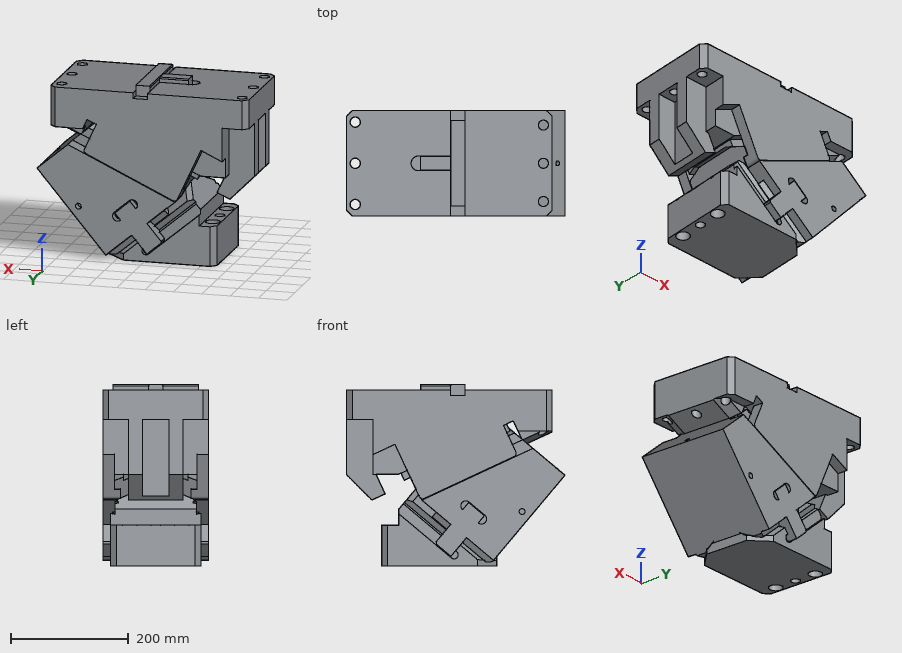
import cadquery as cq
import math


TRAVEL_ANGLE = 40.0
SLIDE_ANGLE = 25.0
SLOPE_30 = math.tan(math.radians(30))
FAR = 500.0

DRIVER_LEFT = 60.0
DRIVER_RIGHT = 256.0
DRIVER_HALF_WIDTH = 77.0
SHELF_HEIGHT = 70.0
FOOT_HEIGHT = 10.0
SHELF_CORNER = 10.0
FOOT_CORNER = 33.0
RIDGE_X, RIDGE_Z = 89.0, 97.0
RAIL_HALF_WIDTH = 69.0
RAIL_EDGE = 25.0
GROOVE_BOTTOM = 12.0
GROOVE_APEX_HEIGHT = 15.0
GROOVE_APEX_HALF_WIDTH = RAIL_HALF_WIDTH - (RAIL_EDGE - GROOVE_APEX_HEIGHT) * SLOPE_30
POCKET_FLOOR = -6.0
POCKET_RADIUS = 7.0
POCKET_END = 129.0
LEAD_IN_LENGTH = 10.0
LEAD_IN_DEPTH = 5.0
SHELF_HOLE_X = 74.0
SHELF_BOLT_DIAMETER = 25.0
SHELF_BOLT_Y = 44.0
DOWEL_DIAMETER = 17.0

HALF_WIDTH = 90.0
SLIDER_START = 20.4
SLIDER_END = 179.62
SLIDER_BOTTOM = 37.0
SLIDER_BACK = 226.0
INSERT_START = 52.0
INSERT_BOTTOM = 26.2
INSERT_BOTTOM_HALF_WIDTH = 67.0
INSERT_CORNER = 8.0
TAB_START, TAB_END = 84.4, 119.5
TAB_BOTTOM = -4.5
TAB_CORNER = 3.0
TAB_INNER_HALF_WIDTH = 63.0
NECK_HALF_WIDTH = 60.0
HEAD_HALF_WIDTH = 70.0
HOOK_TOP = 20.7
HEAD_SHOULDER = 37.0
HEAD_TOP = 49.4
HEAD_TOP_HALF_WIDTH = 40.0
SLOT_X, SLOT_Z = 203.0, 102.6
SLOT_LENGTH = 35.0
SLOT_RADIUS = 8.5
SLOT_PAD_GAP = 1.0
SIDE_POCKET_DEPTH = 15.0
SIDE_HOLE_X, SIDE_HOLE_Z = 298.8, 92.9
SIDE_HOLE_DIAMETER = 10.0
BACK_HOLE_OFFSET = 16.3
BACK_HOLE_DIAMETER = 8.0
BACK_HOLE_DEPTH = 20.0

PLATE_LENGTH = 350.0
PLATE_TOP = 300.0
PLATE_BOTTOM = 249.0
PLATE_TAIL_BOTTOM = 230.0
PLATE_CORNER = 10.0
CORE_LEFT = 45.0
CORE_BOTTOM = 156.0
LEG_HALF_WIDTH = 46.6
LEG_TIP_X = 43.4
LEG_RECESS_DEPTH = 36.0
LEG_RECESS_WIDTH = 45.0
LEG_RIGHT = -52.0
LEG_TIP_RISE = 36.0
CHEEK_LEFT, CHEEK_RIGHT = -1.5, 179.5
CHEEK_GAP = 1.0
CHEEK_SHOULDER = 105.5
CHEEK_FILLET = 6.0
NOTCH_RIGHT = 197.6
CAVITY_TOP = 56.5
GUIDE_LEFT, GUIDE_RIGHT = -13.0, 185.5
GUIDE_HALF_WIDTH = 55.0
STOP_SIDE, STOP_BOTTOM = 20.5, 11.5
STOP_BEVEL_WIDTH = 20.0

BOLT_DIAMETER = 17.0
FRONT_BOLT_X, FRONT_BOLT_Y = 15.0, 70.0
REAR_BOLT_X, REAR_BOLT_Y = 335.0, 65.0

KEY_TOP = 309.0
KEY_SEAT = 290.0
KEY_BEVEL_WIDTH, KEY_BEVEL_HEIGHT = 1.0, 2.5
CROSS_KEY_LEFT, CROSS_KEY_RIGHT = 177.0, 202.0
CROSS_KEY_HALF_LENGTH = 73.0
LONG_KEY_LEFT = 126.0
LONG_KEY_HALF_WIDTH = 12.5
LONG_SEAT_LEFT = 110.0

travel = math.radians(TRAVEL_ANGLE)
slide = math.radians(SLIDE_ANGLE)
travel_dir = cq.Vector(math.cos(travel), 0, -math.sin(travel))
travel_normal = cq.Vector(math.sin(travel), 0, math.cos(travel))
slide_dir = cq.Vector(math.cos(slide), 0, math.sin(slide))
ridge_origin = cq.Vector(RIDGE_X, 0, RIDGE_Z)
slide_origin = ridge_origin + travel_dir * SLIDER_START + travel_normal * SLIDER_BOTTOM

ACROSS = (0, 1, 0)
TOWARD_FRONT = (0, -1, 0)
ridge_side = cq.Plane(ridge_origin, travel_dir, TOWARD_FRONT)
slide_side = cq.Plane(slide_origin, slide_dir, TOWARD_FRONT)


def block(x0, x1, y0, y1, z0, z1):
    return cq.Workplane("XY").box(x1 - x0, y1 - y0, z1 - z0, centered=False).translate((x0, y0, z0))


def profile(plane, points, half_width):
    """Side profile extruded to both sides of the mid plane."""
    return cq.Workplane(plane).polyline(points).close().extrude(half_width, both=True)


def mirrored_section(half_points):
    return half_points + [(-y, height) for y, height in reversed(half_points)]


def along_travel(points, start, end):
    """Cross section (y, height) extruded along the travel direction."""
    plane = cq.Plane(ridge_origin + travel_dir * start, ACROSS, travel_dir)
    return cq.Workplane(plane).polyline(points).close().extrude(end - start)


def along_slide(points, start, end):
    """Cross section (y, height) extruded along the slide direction."""
    plane = cq.Plane(slide_origin + slide_dir * start, ACROSS, slide_dir)
    return cq.Workplane(plane).polyline(points).close().extrude(end - start)


def slide_point(along, above):
    """World (x, z) of a point given along and above the slide plane."""
    point = slide_side.toWorldCoords((along, above))
    return (point.x, point.z)


def slide_point_at_height(along, z):
    """World (x, z) where the line square to the slide plane at `along` crosses height z."""
    above = (z - slide_point(along, 0)[1]) / math.cos(slide)
    return slide_point(along, above)


def slide_point_at_x(x, above):
    """World (x, z) where the line parallel to the slide plane at `above` crosses x."""
    along = (x - slide_point(0, above)[0]) / math.cos(slide)
    return slide_point(along, above)


def bevelled_bar(half_width, base, top):
    """Key section with both upper edges bevelled."""
    shoulder = top - KEY_BEVEL_HEIGHT
    crown = half_width - KEY_BEVEL_WIDTH
    return mirrored_section([(half_width, base), (half_width, shoulder), (crown, top)])


def roof_height(y):
    return RAIL_EDGE + (RAIL_HALF_WIDTH - y) * SLOPE_30


def driver_envelope():
    """Plan outline of the driver as a tall block with its four bevelled corners."""
    blank = block(DRIVER_LEFT, DRIVER_RIGHT, -DRIVER_HALF_WIDTH, DRIVER_HALF_WIDTH, 0, PLATE_TOP)
    blank = blank.edges("|Z and <X").chamfer(SHELF_CORNER)
    return blank.edges("|Z and >X").chamfer(FOOT_CORNER)


def driver_ridge():
    """Roofed ridge, reaching down to the foot and back to the shelf wall."""
    section = [
        (-DRIVER_HALF_WIDTH, -FAR),
        (DRIVER_HALF_WIDTH, -FAR),
        (DRIVER_HALF_WIDTH, roof_height(DRIVER_HALF_WIDTH)),
        (0, roof_height(0)),
        (-DRIVER_HALF_WIDTH, roof_height(DRIVER_HALF_WIDTH)),
    ]
    ridge = along_travel(section, 0, FAR)
    return ridge.intersect(block(RIDGE_X, DRIVER_RIGHT, -FAR, FAR, FOOT_HEIGHT, FAR))


def rail_cutters():
    """On each side: the undercut groove and the rounded pocket that the slider's tabs run in."""
    middle = POCKET_FLOOR + POCKET_RADIUS
    centre_u = POCKET_END - POCKET_RADIUS
    pocket = (
        cq.Workplane(ridge_side)
        .workplane(offset=RAIL_HALF_WIDTH)
        .moveTo(-FAR, POCKET_FLOOR)
        .lineTo(centre_u, POCKET_FLOOR)
        .threePointArc((POCKET_END, middle), (centre_u, middle + POCKET_RADIUS))
        .lineTo(-FAR, middle + POCKET_RADIUS)
        .close()
        .extrude(FAR)
    )
    groove = along_travel(
        [
            (-RAIL_HALF_WIDTH, middle),
            (-RAIL_HALF_WIDTH, GROOVE_BOTTOM),
            (-GROOVE_APEX_HALF_WIDTH, GROOVE_APEX_HEIGHT),
            (-RAIL_HALF_WIDTH, RAIL_EDGE),
            (-HALF_WIDTH, RAIL_EDGE),
            (-HALF_WIDTH, middle),
        ],
        -FAR,
        TAB_END,
    )
    front = pocket.union(groove)
    return [front, front.mirror("XZ")]


def lead_in_cutters():
    """Wedges that slope the upper end of both roof faces."""
    eave = ridge_origin + travel_normal * roof_height(DRIVER_HALF_WIDTH) - cq.Vector(0, DRIVER_HALF_WIDTH, 0)
    up_the_roof = cq.Vector(0, 1, 0) + travel_normal * SLOPE_30
    plane = cq.Plane(eave, travel_dir, up_the_roof)
    wedge = [(0, 0), (0, -LEAD_IN_DEPTH), (LEAD_IN_LENGTH, 0)]
    if plane.yDir.dot(travel_normal) < 0:
        wedge = [(u, -depth) for u, depth in wedge]
    front = cq.Workplane(plane).polyline(wedge).close().extrude(FAR, both=True)
    return [front, front.mirror("XZ")]


def make_driver():
    shelf = block(DRIVER_LEFT, RIDGE_X, -FAR, FAR, 0, SHELF_HEIGHT)
    foot = block(DRIVER_LEFT, DRIVER_RIGHT, -FAR, FAR, 0, FOOT_HEIGHT)
    body = driver_ridge()
    for cutter in rail_cutters() + lead_in_cutters():
        body = body.cut(cutter)
    body = body.union(shelf).union(foot).intersect(driver_envelope())
    holes = cq.Workplane("XY").pushPoints([(SHELF_HOLE_X, y) for y in (-SHELF_BOLT_Y, SHELF_BOLT_Y)])
    body = body.cut(holes.circle(SHELF_BOLT_DIAMETER / 2).extrude(SHELF_HEIGHT))
    dowel = cq.Workplane("XY").center(SHELF_HOLE_X, 0).circle(DOWEL_DIAMETER / 2)
    return body.cut(dowel.extrude(SHELF_HEIGHT))


def head_roof(y):
    """Height of the slider head above the slide plane at half width y."""
    fall = (HEAD_TOP - HEAD_SHOULDER) / (HEAD_HALF_WIDTH - HEAD_TOP_HALF_WIDTH)
    return HEAD_TOP - (y - HEAD_TOP_HALF_WIDTH) * fall


def slider_body():
    """Full-width wedge between the travel direction and the slide plane."""
    rise = SLIDER_BACK - SLIDER_BOTTOM
    top_u = SLIDER_START + rise / math.tan(travel + slide)
    outline = [
        (SLIDER_START, SLIDER_BOTTOM),
        (SLIDER_END, SLIDER_BOTTOM),
        (SLIDER_END, SLIDER_BACK),
        (top_u, SLIDER_BACK),
    ]
    return profile(ridge_side, outline, HALF_WIDTH)


def slider_head():
    """Necked head that hangs in the holder, ending flush with the slider's back face."""
    half = [
        (NECK_HALF_WIDTH, 0),
        (NECK_HALF_WIDTH, HOOK_TOP),
        (HEAD_HALF_WIDTH, HOOK_TOP),
        (HEAD_HALF_WIDTH, HEAD_SHOULDER),
        (HEAD_TOP_HALF_WIDTH, HEAD_TOP),
    ]
    head = along_slide(mirrored_section(half), 0, FAR)
    limit = profile(
        ridge_side, [(-FAR, -FAR), (FAR, -FAR), (FAR, SLIDER_BACK), (-FAR, SLIDER_BACK)], HALF_WIDTH
    )
    return head.intersect(limit)


def slider_insert():
    """Dovetail-sided runner under the slider that carries the groove for the driver roof."""
    flare = (SLIDER_BOTTOM - INSERT_BOTTOM) * SLOPE_30
    half = [
        (INSERT_BOTTOM_HALF_WIDTH, INSERT_BOTTOM),
        (INSERT_BOTTOM_HALF_WIDTH + flare, SLIDER_BOTTOM),
    ]
    runner = along_travel(mirrored_section(half), INSERT_START, SLIDER_END)
    corner = [
        (SLIDER_END - INSERT_CORNER, INSERT_BOTTOM),
        (SLIDER_END, INSERT_BOTTOM),
        (SLIDER_END, INSERT_BOTTOM + INSERT_CORNER),
    ]
    return runner.cut(profile(ridge_side, corner, HALF_WIDTH))


def slider_tabs():
    """Side tabs that reach down over the rail into its groove."""
    outline = [
        (TAB_START, SLIDER_BOTTOM),
        (TAB_START, TAB_BOTTOM + TAB_CORNER),
        (TAB_START + TAB_CORNER, TAB_BOTTOM),
        (TAB_END, TAB_BOTTOM),
        (TAB_END, SLIDER_BOTTOM),
    ]
    both = profile(ridge_side, outline, HALF_WIDTH)
    return both.cut(profile(ridge_side, outline, TAB_INNER_HALF_WIDTH))


def side_pockets():
    """Front-side pockets: the two half-round ends of a slot, and a small hole."""
    front_face = cq.Vector(SLOT_X, -HALF_WIDTH, SLOT_Z)
    face = cq.Workplane(cq.Plane(front_face, travel_dir, TOWARD_FRONT))
    slot = face.center(SLOT_LENGTH / 2, 0).slot2D(SLOT_LENGTH + 2 * SLOT_RADIUS, 2 * SLOT_RADIUS)
    slot = slot.extrude(-SIDE_POCKET_DEPTH)
    pad = face.center(SLOT_LENGTH / 2, -SLOT_PAD_GAP / 2)
    pad = pad.rect(SLOT_LENGTH, 2 * SLOT_RADIUS - SLOT_PAD_GAP).extrude(-SIDE_POCKET_DEPTH)
    hole = cq.Workplane("XZ", origin=(SIDE_HOLE_X, -HALF_WIDTH, SIDE_HOLE_Z))
    hole = hole.circle(SIDE_HOLE_DIAMETER / 2).extrude(-SIDE_POCKET_DEPTH)
    return slot.cut(pad).union(hole)


def back_hole():
    centre = ridge_origin + travel_dir * (SLIDER_END - BACK_HOLE_OFFSET) + travel_normal * SLIDER_BACK
    plane = cq.Plane(centre, ACROSS, travel_normal)
    return cq.Workplane(plane).circle(BACK_HOLE_DIAMETER / 2).extrude(-BACK_HOLE_DEPTH)


def make_slider(driver):
    body = slider_body().union(slider_head()).union(slider_insert()).union(slider_tabs())
    pockets = side_pockets()
    body = body.cut(pockets).cut(pockets.mirror("XZ")).cut(back_hole())
    return body.cut(driver)


def holder_plate():
    outline = [
        (0, PLATE_BOTTOM),
        (0, PLATE_TOP),
        (PLATE_LENGTH, PLATE_TOP),
        (PLATE_LENGTH, PLATE_TAIL_BOTTOM),
        slide_point_at_height(NOTCH_RIGHT, PLATE_TAIL_BOTTOM),
        slide_point_at_height(NOTCH_RIGHT, PLATE_BOTTOM),
    ]
    plate = profile("XZ", outline, HALF_WIDTH)
    return plate.edges("|Z and (<X or >X)").chamfer(PLATE_CORNER)


def holder_cheeks():
    """Side cheeks with hooks that grip the slider's head, over the hollow that houses it."""
    outline = [
        (CORE_LEFT, PLATE_BOTTOM),
        slide_point_at_x(CORE_LEFT, CHEEK_SHOULDER),
        slide_point(CHEEK_LEFT, CHEEK_SHOULDER),
        slide_point(CHEEK_LEFT, CHEEK_GAP),
        slide_point(CHEEK_RIGHT, CHEEK_GAP),
        slide_point(CHEEK_RIGHT, CAVITY_TOP),
        slide_point(NOTCH_RIGHT, CAVITY_TOP),
        slide_point_at_height(NOTCH_RIGHT, PLATE_BOTTOM),
    ]
    cheeks = profile("XZ", outline, HALF_WIDTH)
    for along in (CHEEK_LEFT, CHEEK_RIGHT):
        x, z = slide_point(along, CHEEK_GAP)
        cheeks = cheeks.edges(cq.NearestToPointSelector((x, 0, z))).fillet(CHEEK_FILLET)
    half = [
        (NECK_HALF_WIDTH, 0),
        (NECK_HALF_WIDTH, HOOK_TOP),
        (HEAD_HALF_WIDTH, HOOK_TOP),
        (HEAD_HALF_WIDTH, CAVITY_TOP),
    ]
    return cheeks.cut(along_slide(mirrored_section(half), -FAR, FAR))


def holder_core():
    """Inner block in front of the cheeks and above the slider's head."""
    cavity_x = slide_point(0, CAVITY_TOP)[0]
    along_floor = (CORE_BOTTOM - slide_point(0, CAVITY_TOP)[1]) / math.sin(slide)
    outline = [
        (CORE_LEFT, PLATE_BOTTOM),
        (CORE_LEFT, CORE_BOTTOM),
        slide_point(along_floor, CAVITY_TOP),
        slide_point(0, CAVITY_TOP),
        (cavity_x, PLATE_BOTTOM),
    ]
    return profile("XZ", outline, HEAD_HALF_WIDTH)


def holder_legs():
    """Pair of hooked legs at the front, parted by a central recess."""
    tip = slide_point_at_x(LEG_TIP_X, LEG_TIP_RISE)
    outline = [
        (0, PLATE_BOTTOM),
        (0, tip[1] + LEG_TIP_X),
        tip,
        slide_point(LEG_RIGHT, LEG_TIP_RISE),
        slide_point_at_height(LEG_RIGHT, CORE_BOTTOM),
        (CORE_LEFT, CORE_BOTTOM),
        (CORE_LEFT, PLATE_BOTTOM),
    ]
    legs = profile("XZ", outline, LEG_HALF_WIDTH)
    half_recess = LEG_RECESS_WIDTH / 2
    return legs.cut(block(0, LEG_RECESS_DEPTH, -half_recess, half_recess, 0, PLATE_BOTTOM))


def holder_guide():
    """Central guide block resting on the roof of the slider's head."""
    half = [
        (HEAD_TOP_HALF_WIDTH, HEAD_TOP),
        (GUIDE_HALF_WIDTH, head_roof(GUIDE_HALF_WIDTH)),
        (GUIDE_HALF_WIDTH, CAVITY_TOP),
    ]
    return along_slide(mirrored_section(half), GUIDE_LEFT, GUIDE_RIGHT)


def holder_stop():
    """Bevelled block under the tail of the plate, behind the slider's back face."""
    half = [
        (HEAD_HALF_WIDTH - STOP_BEVEL_WIDTH, STOP_BOTTOM),
        (HEAD_HALF_WIDTH, STOP_SIDE),
        (HEAD_HALF_WIDTH, CAVITY_TOP),
    ]
    stop = along_slide(mirrored_section(half), NOTCH_RIGHT, FAR)
    behind_slider = profile(
        ridge_side, [(-FAR, SLIDER_BACK), (FAR, SLIDER_BACK), (FAR, FAR), (-FAR, FAR)], HALF_WIDTH
    )
    return stop.intersect(behind_slider).intersect(block(0, PLATE_LENGTH, -FAR, FAR, 0, PLATE_BOTTOM))


def holder_bolt_holes():
    points = [(FRONT_BOLT_X, y) for y in (-FRONT_BOLT_Y, 0, FRONT_BOLT_Y)]
    points += [(REAR_BOLT_X, y) for y in (-REAR_BOLT_Y, 0, REAR_BOLT_Y)]
    return cq.Workplane("XY").pushPoints(points).circle(BOLT_DIAMETER / 2).extrude(PLATE_TOP)


def add_keys(body):
    """Cross key and lengthwise key seated in the top of the plate."""
    body = body.cut(block(CROSS_KEY_LEFT, CROSS_KEY_RIGHT, -FAR, FAR, KEY_SEAT, PLATE_TOP))
    seat_centre = LONG_SEAT_LEFT + LONG_KEY_HALF_WIDTH
    seat = block(seat_centre, CROSS_KEY_LEFT, -LONG_KEY_HALF_WIDTH, LONG_KEY_HALF_WIDTH, KEY_SEAT, PLATE_TOP)
    seat_end = cq.Workplane("XY", origin=(seat_centre, 0, KEY_SEAT))
    seat_end = seat_end.circle(LONG_KEY_HALF_WIDTH).extrude(PLATE_TOP - KEY_SEAT)
    body = body.cut(seat).cut(seat_end)
    long_section = bevelled_bar(LONG_KEY_HALF_WIDTH, KEY_SEAT, KEY_TOP)
    long_key = cq.Workplane("YZ", origin=(LONG_KEY_LEFT, 0, 0)).polyline(long_section).close()
    long_key = long_key.extrude(CROSS_KEY_LEFT - LONG_KEY_LEFT)
    cross_outline = [
        (CROSS_KEY_LEFT, KEY_SEAT),
        (CROSS_KEY_RIGHT, KEY_SEAT),
        (CROSS_KEY_RIGHT, KEY_TOP),
        (CROSS_KEY_LEFT + KEY_BEVEL_WIDTH, KEY_TOP),
        (CROSS_KEY_LEFT, KEY_TOP - KEY_BEVEL_HEIGHT),
    ]
    return body.union(long_key).union(profile("XZ", cross_outline, CROSS_KEY_HALF_LENGTH))


def make_holder():
    body = holder_plate().union(holder_cheeks()).union(holder_core()).union(holder_legs())
    body = body.union(holder_guide()).union(holder_stop())
    return add_keys(body.cut(holder_bolt_holes()))


driver = make_driver()
slider = make_slider(driver)
holder = make_holder()

result = cq.Compound.makeCompound([body.solids().val() for body in (driver, slider, holder)])